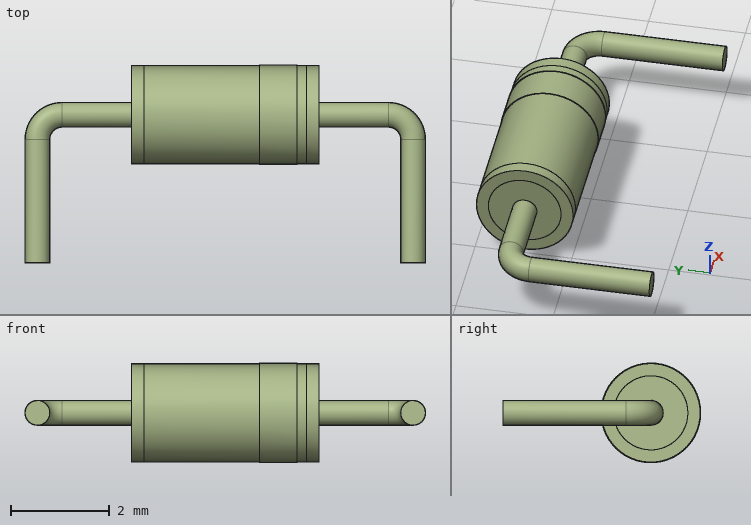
import cadquery as cq
import math

overall_length = 8.12
overall_depth = 4.01

wire_diameter = 0.5
bend_radius = 0.5

body_length = 3.8
body_diameter = 2.0
ring_width = 0.25
ring_bore = 1.5

band_diameter = 2.02
band_width = 0.755
band_end_gap = 0.45

leg_reach = overall_depth - band_diameter / 2
half_body = body_length / 2
leg_x = (overall_length - wire_diameter) / 2
band_start = half_body - band_end_gap - band_width


def cylinder_x(start, length, diameter):
    """Solid cylinder on the X axis."""
    return cq.Workplane("YZ", origin=(start, 0, 0)).circle(diameter / 2).extrude(length)


def tube_x(start, length, outer_diameter, inner_diameter):
    """Ring on the X axis."""
    return (
        cq.Workplane("YZ", origin=(start, 0, 0))
        .circle(outer_diameter / 2)
        .circle(inner_diameter / 2)
        .extrude(length)
    )


def make_wire():
    """One round wire with both ends bent toward -Y."""
    bend_x = leg_x - bend_radius
    arc_offset = bend_radius * (1 - math.sin(math.radians(45)))
    path = (
        cq.Workplane("XY")
        .moveTo(-leg_x, -leg_reach)
        .lineTo(-leg_x, -bend_radius)
        .threePointArc((-leg_x + arc_offset, -arc_offset), (-bend_x, 0))
        .lineTo(bend_x, 0)
        .threePointArc((leg_x - arc_offset, -arc_offset), (leg_x, -bend_radius))
        .lineTo(leg_x, -leg_reach)
    )
    section = cq.Workplane("XZ", origin=(-leg_x, -leg_reach, 0)).circle(wire_diameter / 2)
    return section.sweep(path)


def make_body():
    """Main cylinder with a spigot at each end and a bore for the wire."""
    main_length = body_length - 2 * ring_width
    main = cylinder_x(-main_length / 2, main_length, body_diameter)
    core = cylinder_x(-half_body, body_length, ring_bore)
    bore = cylinder_x(-half_body, body_length, wire_diameter)
    return main.union(core).cut(bore)


def make_end_ring(start):
    """Ring that fits over one end spigot, flush with the body."""
    return tube_x(start, ring_width, body_diameter, ring_bore)


def make_band():
    """Thin marking band wrapped around the main cylinder."""
    return tube_x(band_start, band_width, band_diameter, body_diameter)


wire = make_wire()
body = make_body()
end_rings = [make_end_ring(start) for start in (-half_body, half_body - ring_width)]
band = make_band()

result = cq.Compound.makeCompound(
    [wire.val(), body.val(), band.val(), *[ring.val() for ring in end_rings]]
)